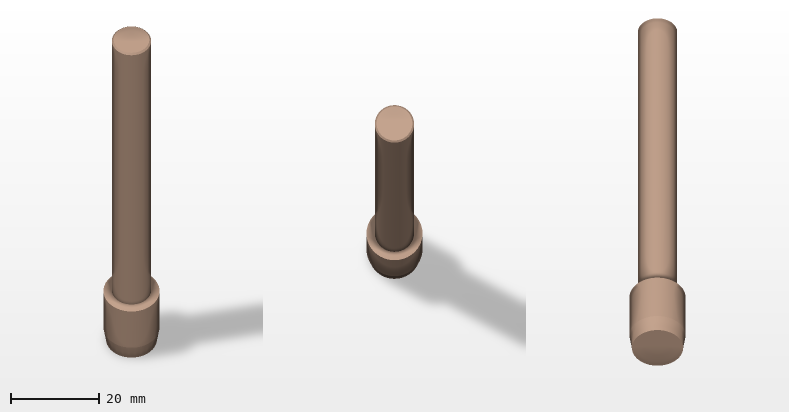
import cadquery as cq

total_height = 100.0
rod_radius = 4.45
rod_chamfer = 0.4

sleeve_radius = 6.35
sleeve_height = 16.0
taper_height = 3.9
foot_radius = 5.8

shoulder_rise = 0.3

head_radius = 5.0
head_bottom = taper_height
head_top = sleeve_height


def revolve_about_z(half_section):
    """Solid of revolution from (radius, height) points."""
    return cq.Workplane("XZ").polyline(half_section).close().revolve(360, (0, 0, 0), (0, 1, 0))


def make_rod():
    """Round rod with a chamfered top edge and a thicker head at its lower end."""
    return revolve_about_z([
        (0, head_bottom),
        (head_radius, head_bottom),
        (head_radius, head_top),
        (rod_radius, head_top),
        (rod_radius, total_height - rod_chamfer),
        (rod_radius - rod_chamfer, total_height),
        (0, total_height),
    ])


def make_sleeve():
    """Closed sleeve around the head of the rod, tapered at its foot."""
    return revolve_about_z([
        (0, 0),
        (foot_radius, 0),
        (sleeve_radius, taper_height),
        (sleeve_radius, sleeve_height),
        (rod_radius, sleeve_height + shoulder_rise),
        (rod_radius, head_top),
        (head_radius, head_top),
        (head_radius, head_bottom),
        (0, head_bottom),
    ])


rod = make_rod()
sleeve = make_sleeve()

result = cq.Compound.makeCompound([rod.val(), sleeve.val()])